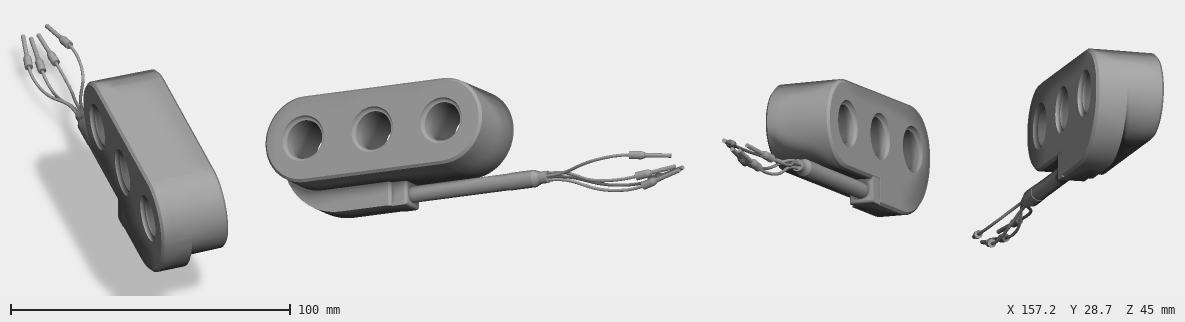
import cadquery as cq
import math


lobe_radius = 16.0
bore_pitch = 28.0
front_y = -5.0
back_y = 20.3
back_draft = 0.7
edge_chamfer = 1.0
bore_radius = 7.0
bore_rounding = 1.4
bore_xs = [-bore_pitch, 0, bore_pitch]
left_lobe_x = -28.5
right_lobe_x = 27.8
housing_right = right_lobe_x + lobe_radius

foot_depth = 24.7
foot_corner_radius = 23.6
foot_back_y = 6.3

entry_length = 5.7
entry_front_y = -4.9
entry_back_y = 4.7
entry_rounding = 1.1
entry_height = foot_depth - lobe_radius + edge_chamfer

cable_z = -20.1
cable_radius = 3.0
sleeve_radius = 3.1
core_radius = 2.2
sleeve_start_x = -45.5
sleeve_end_x = -55.3
sleeve_taper_length = 2.2
core_length = 3.1
core_end_x = sleeve_end_x - sleeve_taper_length - core_length

wire_radius = 0.55
wire_offset = 1.3
pin_radius = 0.8
collar_radius = 1.5
collar_taper_radius = 1.02
collar_taper_length = 1.4
collar_length = 4.2
tip_x = -113.2
collar_end_x = -98.3
wire_middle_x = -78.6
lead_routes = [
    ((4.9, -19.7), (8.3, -18.4), (6.8, -19.0), (1, 0)),
    ((1.7, -23.0), (3.3, -25.2), (2.7, -23.9), (0, 1)),
    ((-1.1, -23.7), (-1.9, -27.5), (-1.5, -26.1), (0, -1)),
    ((-4.1, -22.0), (-6.9, -24.5), (-5.5, -23.6), (-1, 0)),
]


def lobe_outline(y):
    """Outline with two rounded ends at the given Y, ready to extrude towards +Y."""
    length = right_lobe_x - left_lobe_x + 2 * lobe_radius
    middle = ((left_lobe_x + right_lobe_x) / 2, y, 0)
    plane = cq.Plane(origin=middle, xDir=(-1, 0, 0), normal=(0, 1, 0))
    return cq.Workplane(plane).slot2D(length, 2 * lobe_radius)


def make_lobes():
    """Round-ended body: straight ahead of the parting plane, drafted behind it."""
    front = lobe_outline(front_y).extrude(-front_y)
    front = front.faces("<Y").chamfer(edge_chamfer)
    back = lobe_outline(0).extrude(back_y, taper=back_draft)
    back = back.faces(">Y").chamfer(edge_chamfer)
    return front.union(back)


def make_foot():
    """Plate below the bores whose lower right corner is one large arc."""
    corner_x = housing_right - foot_corner_radius
    corner_z = foot_corner_radius - foot_depth
    arc_middle = foot_corner_radius * math.sqrt(0.5)
    foot = (
        cq.Workplane("XZ", origin=(0, front_y, 0))
        .lineTo(0, -foot_depth)
        .lineTo(corner_x, -foot_depth)
        .threePointArc((corner_x + arc_middle, corner_z - arc_middle), (housing_right, corner_z))
        .lineTo(housing_right, 0)
        .close()
        .extrude(front_y - foot_back_y)
    )
    foot = foot.faces("<Y").edges("<Z or %CIRCLE or >X").chamfer(edge_chamfer)
    return foot.faces(">Y").edges("<X").chamfer(edge_chamfer)


def make_entry_block():
    """Block on the side of the foot, into which the cable runs."""
    block = cq.Workplane("XY").box(
        entry_length, entry_back_y - entry_front_y, entry_height, centered=False
    )
    block = block.edges("(<X and <Z) or (<X and >Y)").fillet(entry_rounding)
    return block.translate((-entry_length, entry_front_y, -foot_depth))


def make_bores():
    """Through bores with rounded mouths at both ends."""
    mouth_radius = bore_radius + bore_rounding
    profile = (
        cq.Workplane("XY")
        .moveTo(0, front_y)
        .lineTo(mouth_radius, front_y)
        .radiusArc((bore_radius, front_y + bore_rounding), -bore_rounding)
        .lineTo(bore_radius, back_y - bore_rounding)
        .radiusArc((mouth_radius, back_y), -bore_rounding)
        .lineTo(0, back_y)
        .close()
    )
    bore = profile.revolve(360, (0, 0, 0), (0, 1, 0))
    bores = bore.translate((bore_xs[0], 0, 0))
    for x in bore_xs[1:]:
        bores = bores.union(bore.translate((x, 0, 0)))
    return bores


def make_cable():
    """Cable with its tapered end sleeve and the core that protrudes from it."""
    taper_end_x = sleeve_end_x - sleeve_taper_length
    return (
        cq.Workplane("XZ", origin=(0, 0, cable_z))
        .moveTo(0, 0)
        .lineTo(0, cable_radius)
        .lineTo(sleeve_start_x, cable_radius)
        .lineTo(sleeve_start_x, sleeve_radius)
        .lineTo(sleeve_end_x, sleeve_radius)
        .lineTo(taper_end_x, core_radius)
        .lineTo(core_end_x, core_radius)
        .lineTo(core_end_x, 0)
        .close()
        .revolve(360, (0, 0, 0), (1, 0, 0))
    )


def make_transformer():
    """Housing with its foot, cable entry and fixed cable, as one body."""
    body = make_lobes().union(make_foot()).union(make_entry_block())
    return body.cut(make_bores()).union(make_cable())


def make_lead(tip_yz, collar_yz, middle_yz, side):
    """One wire from the core to its ferrule, which is a collar with a pin."""
    tip = cq.Vector(tip_x, *tip_yz)
    collar_end = cq.Vector(collar_end_x, *collar_yz)
    axis = (collar_end - tip).normalized()
    collar_start = collar_end - axis * collar_length
    taper_start = collar_start - axis * collar_taper_length
    pin_length = (taper_start - tip).Length

    pin = cq.Solid.makeCylinder(pin_radius, pin_length, tip, axis)
    taper = cq.Solid.makeCone(
        collar_taper_radius, collar_radius, collar_taper_length, taper_start, axis
    )
    collar = cq.Solid.makeCylinder(collar_radius, collar_length, collar_start, axis)

    core_point = cq.Vector(
        core_end_x, side[0] * wire_offset, cable_z + side[1] * wire_offset
    )
    path = cq.Workplane("XY").spline(
        [collar_end, cq.Vector(wire_middle_x, *middle_yz), core_point],
        tangents=[axis, cq.Vector(1, 0, 0)],
    )
    wire_start = cq.Workplane(cq.Plane(origin=collar_end, normal=axis))
    wire = wire_start.circle(wire_radius).sweep(path)
    return wire.union(cq.Workplane(pin.fuse(taper, collar)))


transformer = make_transformer()
leads = [make_lead(*route) for route in lead_routes]

result = cq.Compound.makeCompound([transformer.val(), *[lead.val() for lead in leads]])